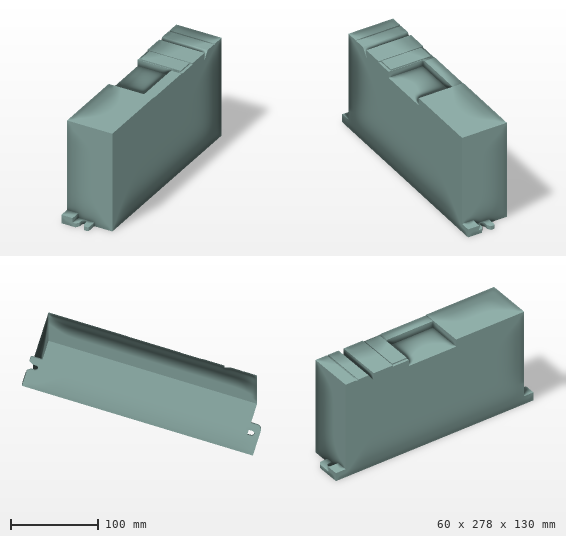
import cadquery as cq

width = 60.0
length = 278.0
height = 130.0
tab_reach = 13.5
body_front = tab_reach
body_back = length - tab_reach

tab_width = 36.1
tab_thickness = 5.0
block_width = 15.0
block_height = 11.0
slot_center = 24.7
slot_radius = 3.0
back_slot_depth = 7.5
back_corner_radius = 5.8
front_tip = 0.5
front_slot_top = body_front - 1.7
flare_start = 4.7
flare_left = 18.5
lobe_left = 30.5
lobe_corner = 2.0

groove_back = body_back - 15.5
groove_length = 2.2
groove_depth = 0.8
notch_back = body_back - 32.2
notch_front = body_back - 39.5
notch_depth = 10.0

recess_back = body_back - 66.5
recess_depth = 1.7
pad_gap = 1.0
pad_front_gap = 0.5
pad_margin = 3.3

pocket_back = body_back - 88.7
pocket_front = body_back - 155.0
pocket_depth = 10.0
rail_left = 46.1
rail_drop = 0.8
rail_gap = 1.0
rail_ramp = 2.5


def box(x0, x1, y0, y1, z0, z1):
    """Box between opposite corners."""
    return cq.Workplane("XY").box(x1 - x0, y1 - y0, z1 - z0, centered=False).translate((x0, y0, z0))


def cross_prism(points, x0, x1):
    """Prism along X with a (y, z) outline."""
    return cq.Workplane("YZ").workplane(offset=x0).polyline(points).close().extrude(x1 - x0)


def back_tab():
    plate = box(0, tab_width, body_back, length, 0, tab_thickness)
    plate = plate.edges("|Z and >X and >Y").fillet(back_corner_radius)
    arc_y = body_back + back_slot_depth - slot_radius
    slot = box(slot_center - slot_radius, slot_center + slot_radius, body_back, arc_y, 0, tab_thickness)
    slot_end = cq.Workplane("XY").center(slot_center, arc_y).circle(slot_radius).extrude(tab_thickness)
    block = box(0, block_width, body_back, length, 0, block_height)
    return plate.cut(slot).cut(slot_end).union(block)


def front_tab():
    """Plate with a flared open slot and a chamfered lobe to its right."""
    arc_y = front_slot_top - slot_radius
    plate = (
        cq.Workplane("XY")
        .moveTo(0, body_front)
        .lineTo(0, front_tip)
        .lineTo(flare_left, front_tip)
        .lineTo(slot_center - slot_radius, flare_start)
        .lineTo(slot_center - slot_radius, arc_y)
        .threePointArc((slot_center, front_slot_top), (slot_center + slot_radius, arc_y))
        .lineTo(slot_center + slot_radius, flare_start)
        .lineTo(lobe_left, 0)
        .lineTo(tab_width - lobe_corner, 0)
        .radiusArc((tab_width, lobe_corner), -lobe_corner)
        .lineTo(tab_width, body_front)
        .close()
        .extrude(tab_thickness)
    )
    return plate.union(box(0, block_width, front_tip, body_front, 0, block_height))


def cross_grooves():
    groove = box(0, width, groove_back - groove_length, groove_back, height - groove_depth, height)
    notch = cross_prism(
        [(notch_back, height), (notch_front, height), (notch_front, height - notch_depth)], 0, width
    )
    return groove.union(notch)


def label_recess():
    recess = box(0, width, pocket_back, recess_back, height - recess_depth, height)
    pad_front = pocket_back + pad_front_gap
    pad = box(
        pad_margin, width - pad_margin, pad_front, recess_back - pad_gap, height - recess_depth, height
    )
    return recess.cut(pad)


def pocket():
    return box(0, rail_left, pocket_front, pocket_back, height - pocket_depth, height)


def rail_relief():
    """Lowers the rail and ramps its back end down to the recess floor."""
    ramp_low = pocket_back - rail_gap
    outline = [
        (pocket_front, height),
        (pocket_front, height - rail_drop),
        (ramp_low - rail_ramp, height - rail_drop),
        (ramp_low, height - recess_depth),
        (pocket_back, height - recess_depth),
        (pocket_back, height),
    ]
    return cross_prism(outline, rail_left, width)


body = box(0, width, body_front, body_back, 0, height)
body = body.cut(cross_grooves()).cut(label_recess()).cut(pocket()).cut(rail_relief())
result = body.union(back_tab()).union(front_tab())